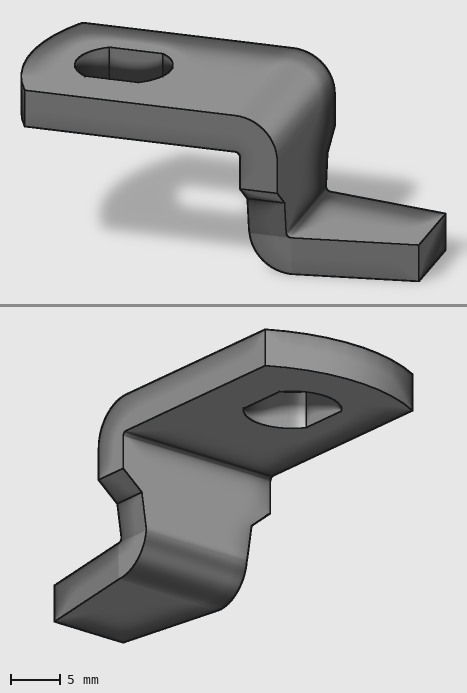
import cadquery as cq
import math

length = 43.0
width = 19.3
height = 18.0
thickness = 4.0

inner_bend_radius = 0.5
outer_bend_radius = inner_bend_radius + thickness
web_outer_x = 29.5
web_inner_x = web_outer_x - thickness
foot_start_x = web_outer_x + inner_bend_radius

end_radius = 20.0

hole_x = 10.0
hole_diameter = 10.0
hole_flat_spacing = 8.2

shoulder_top_z = 10.0
shoulder_bottom_z = 8.0
shoulder_bottom_width = 14.4
bend_width = 13.2
foot_end_width = 9.0


def make_bent_strip():
    """Full-width Z profile with rounded bends."""
    plate_bottom_z = height - thickness
    profile = (
        cq.Workplane("XZ")
        .moveTo(0, height)
        .lineTo(web_outer_x, height)
        .lineTo(web_outer_x, thickness)
        .lineTo(length, thickness)
        .lineTo(length, 0)
        .lineTo(web_inner_x, 0)
        .lineTo(web_inner_x, plate_bottom_z)
        .lineTo(0, plate_bottom_z)
        .close()
    )
    strip = profile.extrude(width / 2, both=True)
    outer_corners = ((web_outer_x, height), (web_inner_x, 0))
    inner_corners = ((web_outer_x, thickness), (web_inner_x, plate_bottom_z))
    for corners, radius in (
        (outer_corners, outer_bend_radius),
        (inner_corners, inner_bend_radius),
    ):
        for x, z in corners:
            corner_edge = cq.selectors.NearestToPointSelector((x, 0, z))
            strip = strip.edges("|Y").edges(corner_edge).fillet(radius)
    return strip


def make_plan_envelope():
    """Outline in plan: convex free end and straight sides, full height."""
    half_width = width / 2
    side_start_x = end_radius - math.sqrt(end_radius**2 - half_width**2)
    return (
        cq.Workplane("XY")
        .moveTo(side_start_x, -half_width)
        .threePointArc((0, 0), (side_start_x, half_width))
        .lineTo(length, half_width)
        .lineTo(length, -half_width)
        .close()
        .extrude(height)
    )


def make_web_envelope():
    """Stepped outline across the strip: shoulders, then a taper to the bend."""
    right_side = [
        (width / 2, height),
        (width / 2, shoulder_top_z),
        (shoulder_bottom_width / 2, shoulder_bottom_z),
        (bend_width / 2, thickness),
        (bend_width / 2, 0),
    ]
    left_side = [(-y, z) for y, z in reversed(right_side)]
    return cq.Workplane("YZ").polyline(right_side + left_side).close().extrude(length)


def make_foot_envelope():
    """Plan outline that leaves the strip whole up to the foot, then tapers it."""
    upper_side = [
        (0, width / 2),
        (foot_start_x, width / 2),
        (foot_start_x, bend_width / 2),
        (length, foot_end_width / 2),
    ]
    lower_side = [(x, -y) for x, y in reversed(upper_side)]
    return cq.Workplane("XY").polyline(upper_side + lower_side).close().extrude(height)


def make_hole():
    """Round hole with two flats parallel to X."""
    round_hole = cq.Workplane("XY").center(hole_x, 0).circle(hole_diameter / 2).extrude(height)
    flats = cq.Workplane("XY").center(hole_x, 0).rect(hole_diameter, hole_flat_spacing).extrude(height)
    return round_hole.intersect(flats)


result = (
    make_bent_strip()
    .intersect(make_plan_envelope())
    .intersect(make_web_envelope())
    .intersect(make_foot_envelope())
    .cut(make_hole())
)